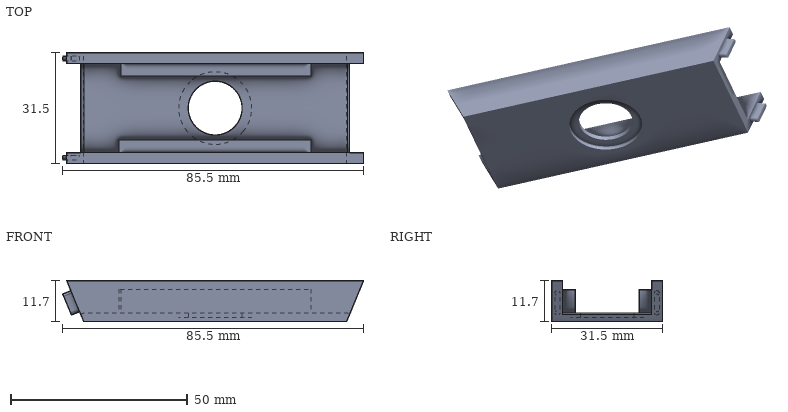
import cadquery as cq
import math

OVERALL_LENGTH = 85.53
OVERALL_WIDTH = 31.5
HEIGHT = 11.68
TOP_LENGTH = 84.4
END_ANGLE = 22.5
WALL_THICKNESS = 3.1
FLOOR_THICKNESS = 2.5
HOLE_DIAMETER = 15.24
COUNTERBORE_DIAMETER = 20.7
HOLE_LIP_THICKNESS = 1.27

BEVEL_DROP = 0.4
FRONT_BEVEL_RUN = 1.0
REAR_BEVEL_RUN = 0.7

RIB_THICKNESS = 3.6
RIB_TOP = 9.1
RIB_END_X = 27.2
BACK_RIB_START_X = -26.8
FRONT_RIB_START_X = -27.3

TAB_WIDTH = 1.4
TAB_LENGTH = 6.5
TAB_FROM_OUTER_FACE = 1.65
TAB_FROM_TOP = 6.35

END_SLOPE = math.tan(math.radians(END_ANGLE))
HALF_TOP = TOP_LENGTH / 2
HALF_BOTTOM = HALF_TOP - HEIGHT * END_SLOPE
WALL_INNER_Y = OVERALL_WIDTH / 2 - WALL_THICKNESS
TAB_Y = OVERALL_WIDTH / 2 - TAB_FROM_OUTER_FACE


def half_length_at(z):
    """Half the length of the tray at height z."""
    return HALF_BOTTOM + z * END_SLOPE


def make_wall(side):
    """Side wall with leaning ends; side is +1 for the +Y wall and -1 for the -Y wall."""
    profile = [
        (-HALF_BOTTOM, 0),
        (HALF_BOTTOM, 0),
        (HALF_TOP, HEIGHT),
        (-HALF_TOP, HEIGHT),
    ]
    middle_y = side * (WALL_INNER_Y + WALL_THICKNESS / 2)
    wall = cq.Workplane("XZ").polyline(profile).close().extrude(WALL_THICKNESS / 2, both=True)
    return wall.translate((0, middle_y, 0))


def make_floor():
    """Floor between the walls, leaning at both ends and bevelled along its end edges."""
    edge_z = FLOOR_THICKNESS - BEVEL_DROP
    edge_x = half_length_at(edge_z)
    profile = [
        (-HALF_BOTTOM, 0),
        (HALF_BOTTOM, 0),
        (edge_x, edge_z),
        (edge_x - REAR_BEVEL_RUN, FLOOR_THICKNESS),
        (-edge_x + FRONT_BEVEL_RUN, FLOOR_THICKNESS),
        (-edge_x, edge_z),
    ]
    return cq.Workplane("XZ").polyline(profile).close().extrude(WALL_INNER_Y, both=True)


def make_rib(side, start_x):
    """Rectangular rib on the floor, running along the inner face of one wall."""
    length = RIB_END_X - start_x
    middle_y = side * (WALL_INNER_Y - RIB_THICKNESS / 2)
    return (
        cq.Workplane("XY")
        .box(length, RIB_THICKNESS, RIB_TOP, centered=(False, True, False))
        .translate((start_x, middle_y, 0))
    )


def tab_projection():
    """Tab height square to the end face that brings its tip to the overall length."""
    angle = math.radians(END_ANGLE)
    tip_from_top = TAB_FROM_TOP - TAB_LENGTH / 2
    tip_reach = OVERALL_LENGTH - TOP_LENGTH
    return (tip_reach + tip_from_top * math.sin(angle)) / math.cos(angle)


def make_tab(side):
    """Round-ended tab standing square on the leaning -X end face of one wall."""
    angle = math.radians(END_ANGLE)
    middle = (
        -HALF_TOP + TAB_FROM_TOP * math.sin(angle),
        side * TAB_Y,
        HEIGHT - TAB_FROM_TOP * math.cos(angle),
    )
    end_plane = cq.Plane(
        origin=middle,
        xDir=(-math.sin(angle), 0, math.cos(angle)),
        normal=(-math.cos(angle), 0, -math.sin(angle)),
    )
    return cq.Workplane(end_plane).slot2D(TAB_LENGTH, TAB_WIDTH).extrude(tab_projection())


def make_stepped_hole():
    """Cutter for the floor hole and the wider counterbore that enters from the underside."""
    hole = cq.Workplane("XY").circle(HOLE_DIAMETER / 2).extrude(FLOOR_THICKNESS)
    counterbore_depth = FLOOR_THICKNESS - HOLE_LIP_THICKNESS
    counterbore = cq.Workplane("XY").circle(COUNTERBORE_DIAMETER / 2).extrude(counterbore_depth)
    return hole.union(counterbore)


def make_tray():
    tray = make_floor()
    for side, rib_start_x in ((1, BACK_RIB_START_X), (-1, FRONT_RIB_START_X)):
        tray = tray.union(make_wall(side))
        tray = tray.union(make_rib(side, rib_start_x))
        tray = tray.union(make_tab(side))
    return tray.cut(make_stepped_hole())


result = make_tray()